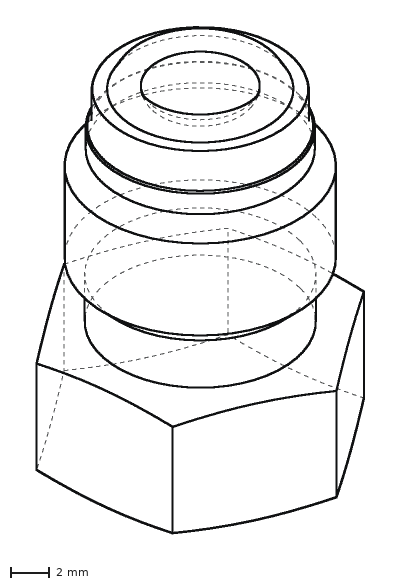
import cadquery as cq
import math

hex_across_flats = 15.9
hex_height = 7.58
hex_bevel_diameter = 15.4
hex_bevel_angle = math.radians(15)

total_height = 23.4
neck_radius = 12.1 / 2
collar_radius = 14.2 / 2
collar_bottom = 11.65
collar_top = 17.53
shoulder_radius = 12.0 / 2
shoulder_top = 19.94
shoulder_edge_height = 0.12
shoulder_edge_inset = 0.1
spigot_radius = 11.4 / 2
spigot_bottom = 20.35
spigot_top = 22.42
spigot_edge_height = 0.16
spigot_edge_inset = 0.05

lip_center_radius = 3.93
lip_round_radius = 0.65
lip_cone_angle = math.radians(30)
recess_radius = 6.22 / 2
recess_round_radius = 0.8


def make_hex_head():
    """Hexagonal prism with its corners bevelled at both ends."""
    corner_radius = hex_across_flats / math.sqrt(3)
    prism = (
        cq.Workplane("XY")
        .polygon(6, 2 * corner_radius)
        .extrude(hex_height)
        .rotate((0, 0, 0), (0, 0, 1), 30)
    )
    envelope_radius = corner_radius + 0.23
    bevel_radius = hex_bevel_diameter / 2
    bevel_drop = (envelope_radius - bevel_radius) * math.tan(hex_bevel_angle)
    envelope = (
        cq.Workplane("XZ")
        .polyline([
            (0, 0),
            (bevel_radius, 0),
            (envelope_radius, bevel_drop),
            (envelope_radius, hex_height - bevel_drop),
            (bevel_radius, hex_height),
            (0, hex_height),
        ])
        .close()
        .revolve(360, (0, 0, 0), (0, 1, 0))
    )
    return prism.intersect(envelope)


def make_turned_body():
    """Neck, collar, shoulder, spigot and lip as one revolved profile."""
    round_half_width = lip_round_radius * math.cos(lip_cone_angle)
    round_end = total_height - lip_round_radius * (1 - math.sin(lip_cone_angle))
    lip_outer = lip_center_radius + round_half_width
    lip_inner = lip_center_radius - round_half_width
    lip_base = lip_outer + (round_end - spigot_top) * math.tan(lip_cone_angle)

    dish_top = round_end - (lip_inner - recess_radius) / math.tan(lip_cone_angle)
    floor = dish_top - recess_round_radius
    floor_radius = recess_radius - recess_round_radius
    dish_middle = (
        floor_radius + recess_round_radius * math.sin(math.pi / 4),
        dish_top - recess_round_radius * math.cos(math.pi / 4),
    )

    fillet_start_radius = shoulder_radius - shoulder_edge_inset
    fillet_start = shoulder_top + shoulder_edge_height
    fillet_width = fillet_start_radius - spigot_radius
    fillet_height = spigot_bottom - fillet_start
    fillet_radius = (fillet_width**2 + fillet_height**2) / (2 * fillet_width)
    half_angle = math.asin(fillet_height / fillet_radius) / 2
    fillet_middle = (
        spigot_radius + fillet_radius * (1 - math.cos(half_angle)),
        spigot_bottom - fillet_radius * math.sin(half_angle),
    )

    lower_cone_bottom = collar_bottom - (collar_radius - neck_radius)
    upper_cone_top = collar_top + (collar_radius - shoulder_radius)

    return (
        cq.Workplane("XZ")
        .moveTo(0, hex_height)
        .lineTo(neck_radius, hex_height)
        .lineTo(neck_radius, lower_cone_bottom)
        .lineTo(collar_radius, collar_bottom)
        .lineTo(collar_radius, collar_top)
        .lineTo(shoulder_radius, upper_cone_top)
        .lineTo(shoulder_radius, shoulder_top)
        .lineTo(fillet_start_radius, fillet_start)
        .threePointArc(fillet_middle, (spigot_radius, spigot_bottom))
        .lineTo(spigot_radius, spigot_top - spigot_edge_height)
        .lineTo(spigot_radius - spigot_edge_inset, spigot_top)
        .lineTo(lip_base, spigot_top)
        .lineTo(lip_outer, round_end)
        .threePointArc((lip_center_radius, total_height), (lip_inner, round_end))
        .lineTo(recess_radius, dish_top)
        .threePointArc(dish_middle, (floor_radius, floor))
        .lineTo(0, floor)
        .close()
        .revolve(360, (0, 0, 0), (0, 1, 0))
    )


result = make_hex_head().union(make_turned_body())